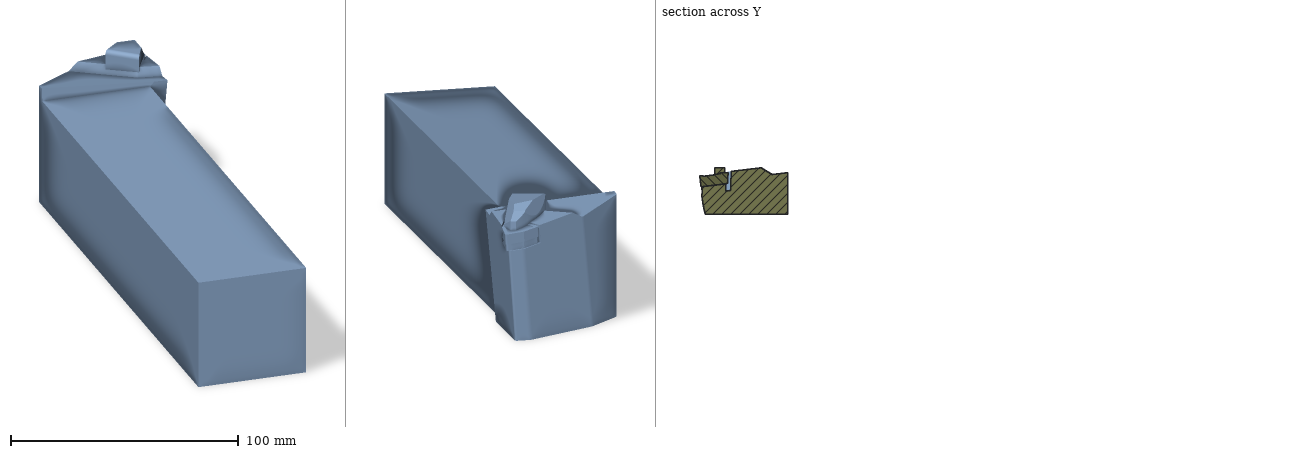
import cadquery as cq
import math

total_length = 249.93
shank_width = 50.0
shank_height = 50.0

head_back_x = 39.8
back_skew = 0.13
nose_wall_x = 5.2
nose_lean = math.tan(math.radians(5.75))
side_wall_y = 53.6
side_lean = math.tan(math.radians(5.4))
flank_foot = (21.2, 14.5)
flank_angle = math.radians(116.5)
flank_lean = math.tan(math.radians(2.6))
diagonal_x = 35.0
diagonal_angle = math.atan2(flank_foot[1], flank_foot[0] - diagonal_x)
blank_height = 62.0
corner_radii = {2: 5.0, 3: 4.0, 4: 1.0}

slope_x = 0.12
slope_y = -0.078
seat_origin_z = 54.8
seat_drop = 3.5
ramp_bend = (27.1, 48.5)
ramp_width = 4.5
ramp_turn = -31.5
step_lean = 1.6

insert_centre = (6.80, 52.54)
inscribed_radius = 6.35
corner_half_angle = math.radians(40)
nose_direction = math.radians(135)
trigon_sides = 3
insert_thickness = 4.76
insert_nose_radius = 0.8
insert_drop = 0.35
chip_groove_margin = 1.5
chip_groove_depth = 0.3
shim_thickness = 3.2
pocket_top = 2.0
shim_inset = 0.3
pocket_clearance = 0.5

clamp_side_start = (9.5, 57.6)
clamp_nose_top = (4.2, 56.0)
clamp_nose_bottom = (3.9, 53.5)
clamp_flank_mid = (12.5, 42.2)
clamp_flank_end = (20.5, 36.2)
clamp_rear_offset = 2.4
clamp_side_slope = -0.457
clamp_base_z = 50.0
clamp_peak_z = 61.93
clamp_edge_radius = 2.0
flank_top_start = (3.4, 53.6)
flank_top_end = (19.4, 38.0)
flank_slope = 0.25
nose_profile_low = (3.6, 54.0)
nose_profile_mid = (7.2, 58.3)
nose_top_x = 15.0
side_profile_low = (58.0, 51.5)
side_profile_high = (52.5, 60.4)

far = 100.0


def seat_z(x, y):
    """Height of the raised seat plane."""
    return seat_origin_z + slope_x * x + slope_y * y


def sloped_place(x, y, drop):
    """Location on a plane parallel to the seat plane, a drop below it."""
    normal = (-slope_x, -slope_y, 1)
    return cq.Location(cq.Plane((x, y, seat_z(x, y) - drop), (1, 0, slope_x), normal))


def line_crossing(p, p_angle, q, q_angle):
    """Point where two lines meet, each given by a point and a direction angle."""
    dx, dy = q[0] - p[0], q[1] - p[1]
    along = (dx * math.sin(q_angle) - dy * math.cos(q_angle)) / math.sin(q_angle - p_angle)
    return (p[0] + along * math.cos(p_angle), p[1] + along * math.sin(p_angle))


def head_outline(z):
    """Plan outline of the head at height z."""
    end_x = nose_wall_x - nose_lean * z
    side_y = side_wall_y + side_lean * z
    shift = flank_lean * z
    flank_point = (
        flank_foot[0] - shift * math.sin(flank_angle),
        flank_foot[1] + shift * math.cos(flank_angle),
    )
    return [
        (head_back_x, 0),
        (diagonal_x, 0),
        line_crossing((diagonal_x, 0), diagonal_angle, flank_point, flank_angle),
        line_crossing((end_x, 0), math.pi / 2, flank_point, flank_angle),
        (end_x, side_y),
        (head_back_x - back_skew * (side_y - shank_width), side_y),
        (head_back_x, shank_width),
    ]


def make_head_blank():
    """Block with leaning flat walls and rounded upright corners."""
    low = [cq.Vector(x, y, 0) for x, y in head_outline(0)]
    high = [cq.Vector(x, y, blank_height) for x, y in head_outline(blank_height)]
    loops = [low, high]
    for i in range(len(low)):
        j = (i + 1) % len(low)
        loops.append([low[i], low[j], high[j], high[i]])
    faces = [cq.Face.makeFromWires(cq.Wire.makePolygon(loop, close=True)) for loop in loops]
    blank = cq.Workplane(cq.Solid.makeSolid(cq.Shell.makeShell(faces)))
    for corner, radius in corner_radii.items():
        middle = (low[corner] + high[corner]) / 2
        edge = cq.selectors.NearestToPointSelector(middle.toTuple())
        blank = blank.edges(edge).fillet(radius)
    return blank


def make_ramp_cutter(turn):
    """Space above the lower plane and one stretch of the ramp, turned about the ramp bend."""
    cutter = (
        cq.Workplane("XZ", origin=(0, far, 0))
        .polyline([(0, 0), (ramp_width, -seat_drop), (far, -seat_drop), (far, far), (0, far)])
        .close()
        .extrude(2 * far)
        .rotate((0, 0, 0), (0, 0, 1), turn)
    )
    return cq.Workplane(cutter.val().moved(sloped_place(*ramp_bend, 0)))


def make_head():
    above_seat = cq.Workplane("XY").rect(2 * far, 2 * far).extrude(far)
    step = (
        cq.Workplane("XZ", origin=(0, far, 0))
        .polyline([
            (head_back_x, shank_height),
            (head_back_x - step_lean, blank_height),
            (far, blank_height),
            (far, shank_height),
        ])
        .close()
        .extrude(2 * far)
    )
    head = make_head_blank().cut(step)
    head = head.cut(cq.Workplane(above_seat.val().moved(sloped_place(0, 0, 0))))
    for turn in (0, ramp_turn):
        head = head.cut(make_ramp_cutter(turn))
    return head


def make_shank():
    return cq.Workplane("XY").box(
        total_length - head_back_x, shank_width, shank_height, centered=False
    ).translate((head_back_x, 0, 0))


def make_trigon(inset, top, thickness):
    """Trigon plate with its upper face at the given height above the insert top."""
    radius = inscribed_radius - inset
    sharp_reach = radius / math.sin(corner_half_angle)
    half_pitch = math.pi / trigon_sides
    tangent_turn = math.pi / 2 - corner_half_angle
    blunt_reach = radius / math.cos(half_pitch - tangent_turn)
    outline = []
    for i in range(trigon_sides):
        angle = nose_direction + 2 * half_pitch * i
        for reach, turn in ((sharp_reach, 0), (blunt_reach, half_pitch)):
            outline.append((reach * math.cos(angle + turn), reach * math.sin(angle + turn)))
    plate = cq.Workplane("XY", origin=(0, 0, top)).polyline(outline).close().extrude(-thickness)
    for x, y in outline[::2]:
        corner = cq.selectors.NearestToPointSelector((x, y, top - thickness / 2))
        plate = plate.edges(corner).fillet(insert_nose_radius)
    return plate


def place_at_insert(body):
    return cq.Workplane(body.val().moved(sloped_place(*insert_centre, insert_drop)))


def make_insert():
    insert = make_trigon(0, 0, insert_thickness)
    insert = insert.cut(make_trigon(chip_groove_margin, 0, chip_groove_depth))
    return place_at_insert(insert)


def make_pocket():
    """Pocket for insert and shim, open upwards."""
    space = make_trigon(-pocket_clearance, pocket_top, pocket_top + insert_thickness + shim_thickness)
    return place_at_insert(space)


def make_shim():
    return place_at_insert(make_trigon(shim_inset, -insert_thickness, shim_thickness))


def make_clamp():
    side_angle = math.atan(clamp_side_slope)
    rear_angle = math.radians(90 + ramp_turn)
    rear_point = (
        ramp_bend[0] + clamp_rear_offset * math.sin(rear_angle),
        ramp_bend[1] - clamp_rear_offset * math.cos(rear_angle),
    )
    rear_top = line_crossing(clamp_side_start, side_angle, rear_point, rear_angle)
    rear_bottom = line_crossing(clamp_flank_end, side_angle, rear_point, rear_angle)
    clamp = (
        cq.Workplane("XY", origin=(0, 0, clamp_base_z))
        .moveTo(*clamp_side_start)
        .lineTo(*rear_top)
        .lineTo(*rear_bottom)
        .lineTo(*clamp_flank_end)
        .threePointArc(clamp_flank_mid, clamp_nose_bottom)
        .lineTo(*clamp_nose_top)
        .close()
        .extrude(clamp_peak_z - clamp_base_z)
    )
    front = (
        cq.Workplane("XZ", origin=(0, far, 0))
        .moveTo(nose_profile_low[0], clamp_base_z)
        .lineTo(*nose_profile_low)
        .lineTo(*nose_profile_mid)
        .lineTo(nose_top_x, clamp_peak_z)
        .lineTo(far, clamp_peak_z)
        .lineTo(far, clamp_base_z)
        .close()
        .extrude(2 * far)
    )
    side = (
        cq.Workplane("YZ")
        .moveTo(0, clamp_base_z)
        .lineTo(side_profile_low[0], clamp_base_z)
        .lineTo(*side_profile_low)
        .lineTo(*side_profile_high)
        .lineTo(rear_bottom[1], clamp_peak_z)
        .lineTo(0, clamp_peak_z)
        .close()
        .extrude(far)
    )
    flank_length = math.dist(flank_top_start, flank_top_end)
    along_x = flank_top_end[0] - flank_top_start[0]
    along_y = flank_top_end[1] - flank_top_start[1]
    flank_plane = cq.Plane(
        origin=(*flank_top_start, clamp_peak_z),
        xDir=(along_y, -along_x, 0),
        normal=(along_x, along_y, 0),
    )
    flank_cutter = (
        cq.Workplane(flank_plane)
        .polyline([(0, 0), (flank_slope * far, far), (far, far), (far, 0)])
        .close()
        .extrude(2 * flank_length, both=True)
    )
    rear_middle = ((rear_top[0] + rear_bottom[0]) / 2, (rear_top[1] + rear_bottom[1]) / 2, clamp_peak_z)
    rear_edge = cq.selectors.NearestToPointSelector(rear_middle)
    clamp = clamp.intersect(front).intersect(side).cut(flank_cutter)
    return clamp.edges(rear_edge).fillet(clamp_edge_radius)


insert = make_insert()
holder = (
    make_shank()
    .union(make_head())
    .cut(make_pocket())
    .union(make_shim())
    .union(make_clamp())
    .cut(insert)
)

result = cq.Compound.makeCompound([holder.val(), insert.val()])